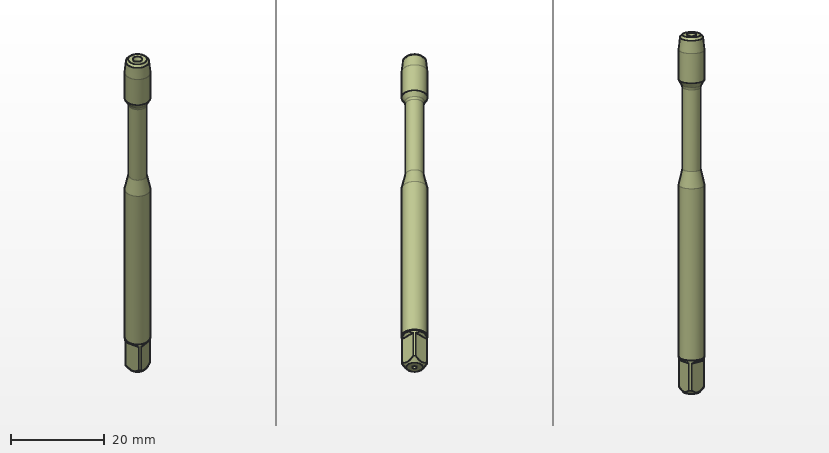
import cadquery as cq
import math

length = 80.0
tip_chamfer_end = 0.55
lead_end = 3.3
head_end = 10.0
head_back_chamfer_end = 11.1
head_runout_end = 11.7
neck_end = 30.0
shank_start = 33.6
shank_end = 72.2
square_start = 72.9
drive_chamfer_start = 78.9

tip_diameter = 3.96
lead_diameter = 5.0
head_diameter = 5.58
head_back_diameter = 4.3
neck_diameter = 3.96
shank_diameter = 5.59
drive_diameter = 5.36

square_size = 4.19
shank_edge_chamfer = (shank_diameter - drive_diameter) / 2
drive_chamfer_angle = 40.0

bore_diameter = 1.0
countersink_diameter = 2.0
countersink_angle = 60.0


def height(distance_from_tip):
    """Z of a station; the drive end lies at Z = 0 and the tip points up."""
    return length - distance_from_tip


def turned_body():
    """Revolved body: chamfered head, slim neck, shank and drive end."""
    drive_chamfer_length = length - drive_chamfer_start
    end_diameter = drive_diameter - 2 * drive_chamfer_length * math.tan(math.radians(drive_chamfer_angle))
    stations = [
        (tip_diameter, 0),
        (lead_diameter, tip_chamfer_end),
        (head_diameter, lead_end),
        (head_diameter, head_end),
        (head_back_diameter, head_back_chamfer_end),
        (neck_diameter, head_runout_end),
        (neck_diameter, neck_end),
        (shank_diameter, shank_start),
        (shank_diameter, shank_end - shank_edge_chamfer),
        (drive_diameter, shank_end),
        (drive_diameter, drive_chamfer_start),
        (end_diameter, length),
    ]
    outline = [(diameter / 2, height(distance)) for diameter, distance in stations]
    profile = cq.Workplane("XZ").polyline([(0, length)] + outline + [(0, 0)]).close()
    return profile.revolve(360, (0, 0, 0), (0, 1, 0))


def drive_flat_cutter(angle):
    """Material beyond one flat of the square, ending in a 45 degree shoulder."""
    flat = square_size / 2
    outer = shank_diameter
    top = height(square_start)
    shoulder_rise = outer - flat
    return (
        cq.Workplane("XZ")
        .polyline([(flat, 0), (outer, 0), (outer, top + shoulder_rise), (flat, top)])
        .close()
        .extrude(shank_diameter / 2, both=True)
        .rotate((0, 0, 0), (0, 0, 1), angle)
    )


def drill_coolant_bore(body):
    """Bore the whole length of the body and countersink the tip."""
    return (
        body.faces(">Z")
        .workplane(centerOption="CenterOfBoundBox")
        .cskHole(bore_diameter, countersink_diameter, countersink_angle)
    )


result = turned_body()
for flat_angle in (0, 90, 180, 270):
    result = result.cut(drive_flat_cutter(flat_angle))
result = drill_coolant_bore(result)